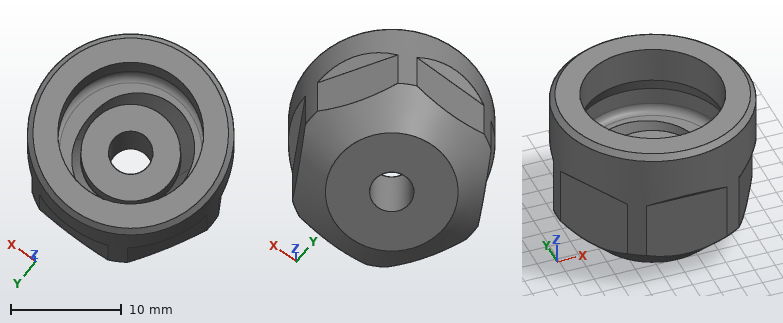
import cadquery as cq
import math

outer_diameter = 18.7
height = 14.6
top_chamfer = 0.5
nose_diameter = 12.0

across_flats = 17.0
flat_top = 9.0
cutter_overrun = 0.19

bore_diameter = 13.18
bore_depth = 3.52
groove_diameter = 14.5
groove_cone_depth = 4.95
floor_depth = 7.45
floor_fillet = 0.79

moat_mouth_x = 10.47
moat_mouth_y = 11.65
moat_mouth_end_radius = 5.15
moat_mouth_offset = -0.28
moat_bottom_diameter = 9.1
moat_depth = 2.43
land_diameter = 9.01
land_drop = 0.2

hole_diameter = 4.0

outer_radius = outer_diameter / 2
floor_z = height - floor_depth
moat_bottom_z = floor_z - moat_depth


def turned_body():
    """Cylinder with a small top chamfer and a 45 degree conical nose."""
    nose_radius = nose_diameter / 2
    profile = [
        (0, 0),
        (nose_radius, 0),
        (outer_radius, outer_radius - nose_radius),
        (outer_radius, height - top_chamfer),
        (outer_radius - top_chamfer, height),
        (0, height),
    ]
    return cq.Workplane("XZ").polyline(profile).close().revolve(360, (0, 0), (0, 1))


def flat_cutter(angle):
    """Prism that mills one wrench flat and its sloping upper run-out."""
    flat_distance = across_flats / 2
    reach = outer_radius + cutter_overrun
    section = [
        (flat_distance, 0),
        (reach, 0),
        (reach, flat_top + reach - flat_distance),
        (flat_distance, flat_top),
    ]
    prism = cq.Workplane("YZ").polyline(section).close().extrude(outer_radius, both=True)
    return prism.rotate((0, 0, 0), (0, 0, 1), angle)


def bore_cutter():
    """Bore that widens below its mouth and ends in a filleted flat floor."""
    bore_radius = bore_diameter / 2
    groove_radius = groove_diameter / 2
    fillet_center = (groove_radius - floor_fillet, floor_z + floor_fillet)
    fillet_reach = floor_fillet * math.sqrt(0.5)
    return (
        cq.Workplane("XZ")
        .moveTo(0, height)
        .lineTo(bore_radius, height)
        .lineTo(bore_radius, height - bore_depth)
        .lineTo(groove_radius, height - groove_cone_depth)
        .lineTo(groove_radius, fillet_center[1])
        .threePointArc(
            (fillet_center[0] + fillet_reach, fillet_center[1] - fillet_reach),
            (fillet_center[0], floor_z),
        )
        .lineTo(0, floor_z)
        .close()
        .revolve(360, (0, 0), (0, 1))
    )


def four_arc_loop(plane, half_x, half_y, joint_x, joint_y):
    """Closed loop of four arcs that meet at (+-joint_x, +-joint_y)."""
    return (
        plane.moveTo(joint_x, -joint_y)
        .threePointArc((half_x, 0), (joint_x, joint_y))
        .threePointArc((0, half_y), (-joint_x, joint_y))
        .threePointArc((-half_x, 0), (-joint_x, -joint_y))
        .threePointArc((0, -half_y), (joint_x, -joint_y))
        .close()
    )


def moat_cutter():
    """Loft from the round moat bottom to its oval mouth, less the central land."""
    half_x = moat_mouth_x / 2
    half_y = moat_mouth_y / 2
    end_center_y = half_y - moat_mouth_end_radius
    end_inset = half_x - moat_mouth_end_radius
    side_radius = moat_mouth_end_radius + (end_inset**2 + end_center_y**2) / (2 * end_inset)
    joint_angle = math.atan2(end_center_y, side_radius - half_x)
    cos_joint = math.cos(joint_angle)
    sin_joint = math.sin(joint_angle)

    bottom_radius = moat_bottom_diameter / 2
    bottom_plane = cq.Workplane("XY", origin=(0, 0, moat_bottom_z))
    bottom = four_arc_loop(
        bottom_plane, bottom_radius, bottom_radius, bottom_radius * cos_joint, bottom_radius * sin_joint
    )
    mouth_plane = bottom.workplane(offset=moat_depth, origin=(moat_mouth_offset, 0, moat_bottom_z))
    mouth = four_arc_loop(
        mouth_plane,
        half_x,
        half_y,
        moat_mouth_end_radius * cos_joint,
        end_center_y + moat_mouth_end_radius * sin_joint,
    )
    land_base = cq.Workplane("XY", origin=(0, 0, moat_bottom_z))
    land = land_base.circle(land_diameter / 2).extrude(moat_depth - land_drop)
    return mouth.loft(ruled=True).cut(land)


result = turned_body()
for side in range(6):
    result = result.cut(flat_cutter(60 * side))
result = result.cut(bore_cutter()).cut(moat_cutter())
through_hole = cq.Workplane("XY").circle(hole_diameter / 2).extrude(height)
result = result.cut(through_hole)